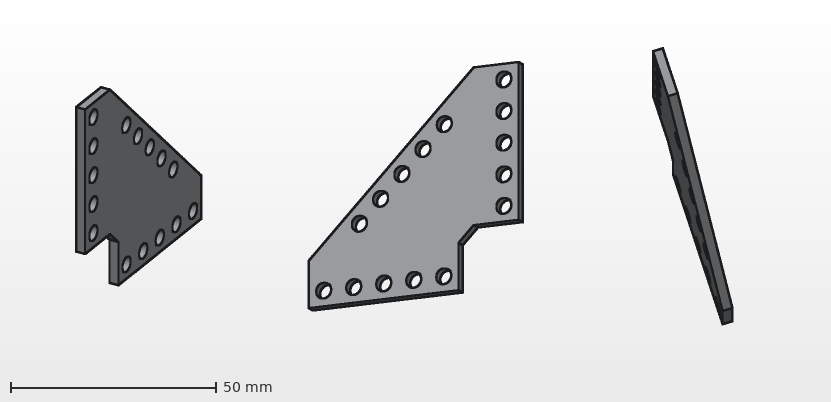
import cadquery as cq
import math

side = 56.0
thickness = 2.5
arm_width = 12.0
arm_length = 40.0
hole_diameter = 4.0
hole_pitch = 8.0
edge_distance = 4.0
holes_per_row = 5

half = side / 2
arm_inner = -half + arm_width
arm_end = half - arm_length
slope_middle = (half + arm_inner) / 2
diagonal_row_middle = slope_middle - edge_distance / math.sqrt(2)


def plate():
    """Plate symmetric about Y = Z, with a sloped edge and a notched corner."""
    outline = [
        (half, -half),
        (half, arm_inner),
        (arm_inner, half),
        (-half, half),
        (-half, arm_end),
        (arm_inner, arm_end),
        (arm_end, arm_inner),
        (arm_end, -half),
    ]
    return (
        cq.Workplane("YZ", origin=(-thickness / 2, 0, 0))
        .polyline(outline)
        .close()
        .extrude(thickness)
    )


def hole_centres():
    """Centres (Y, Z) of the rows along both arms and the sloped edge."""
    centres = []
    for index in range(holes_per_row):
        along_arm = half - edge_distance - index * hole_pitch
        across_arm = -half + edge_distance
        centres.append((along_arm, across_arm))
        centres.append((across_arm, along_arm))

        from_middle = (index - (holes_per_row - 1) / 2) * hole_pitch
        step = from_middle / math.sqrt(2)
        centres.append((diagonal_row_middle + step, diagonal_row_middle - step))
    return centres


holes = (
    cq.Workplane("YZ", origin=(-thickness / 2, 0, 0))
    .pushPoints(hole_centres())
    .circle(hole_diameter / 2)
    .extrude(thickness)
)

result = plate().cut(holes)